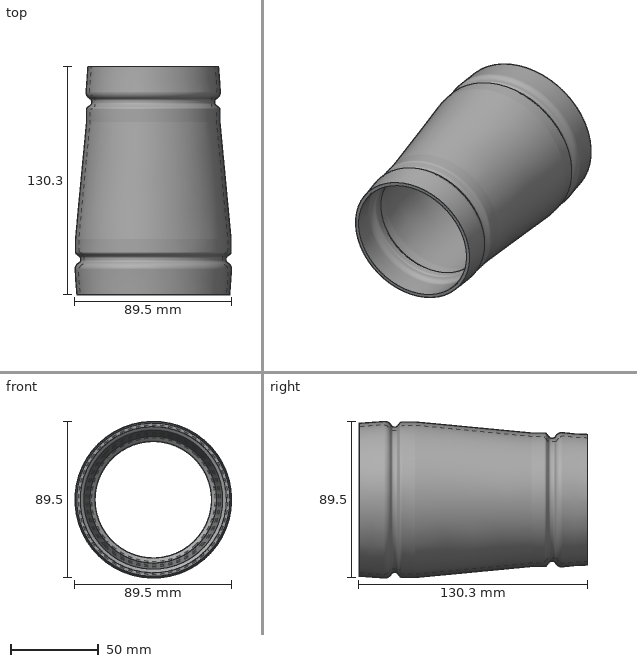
import cadquery as cq
import math

total_length = 130.3
large_diameter = 88.9
large_bore = 85.0
large_groove_diameter = 83.1
small_diameter = 76.2
small_bore = 72.2
small_groove_diameter = 70.4

end_length = 31.9
lip_inset = 0.8
bead_height = 0.3
bead_start = 14.6
floor_start = 19.8
floor_end = 20.7
fillet_radius = 1.5
shoulder_angle = math.radians(52)
inner_side_shift = 1.0

axis_start = (0, 0, 0)
axis_end = (0, 1, 0)


def arc_point(center, radius, angle):
    """Point on an arc; the angle turns from the outward radial direction towards +Y."""
    return (center[0] + radius * math.cos(angle), center[1] + radius * math.sin(angle))


def arc_to(center, radius, start, end):
    """Middle and final points of an arc, ready for threePointArc."""
    return arc_point(center, radius, (start + end) / 2), arc_point(center, radius, end)


def end_envelope(diameter, groove_diameter, side_shift):
    """Solid with flared lip, bead and rolled groove; end face at Y=0, pipe towards +Y.

    The groove sides move apart by side_shift each, which widens the groove floor.
    """
    crest_place = bead_start - side_shift
    entry_place = floor_start - side_shift
    exit_place = floor_end + side_shift
    pipe_radius = diameter / 2
    groove_radius = groove_diameter / 2
    crest_radius = pipe_radius + bead_height

    blend_drop = crest_radius - groove_radius
    blend_run = entry_place - crest_place
    bead_angle = 2 * math.atan(blend_drop / blend_run)
    bead_radius = blend_run / math.sin(bead_angle) - fillet_radius

    side_rise = pipe_radius - groove_radius - 2 * fillet_radius * (1 - math.cos(shoulder_angle))
    side_run = side_rise / math.tan(shoulder_angle)
    shoulder_end = exit_place + 2 * fillet_radius * math.sin(shoulder_angle) + side_run

    bead_center = (crest_radius - bead_radius, crest_place)
    entry_center = (groove_radius + fillet_radius, entry_place)
    exit_center = (groove_radius + fillet_radius, exit_place)
    shoulder_center = (pipe_radius - fillet_radius, shoulder_end)

    profile = (
        cq.Workplane("XY")
        .lineTo(pipe_radius - lip_inset, 0)
        .lineTo(crest_radius, crest_place)
        .threePointArc(*arc_to(bead_center, bead_radius, 0, bead_angle))
        .threePointArc(*arc_to(entry_center, fillet_radius, math.pi + bead_angle, math.pi))
        .lineTo(groove_radius, exit_place)
        .threePointArc(*arc_to(exit_center, fillet_radius, math.pi, math.pi - shoulder_angle))
        .lineTo(*arc_point(shoulder_center, fillet_radius, -shoulder_angle))
        .threePointArc(*arc_to(shoulder_center, fillet_radius, -shoulder_angle, 0))
        .lineTo(pipe_radius, end_length)
        .lineTo(0, end_length)
        .close()
    )
    return profile.revolve(360, axis_start, axis_end)


def grooved_end(diameter, bore, groove_diameter):
    """Pipe end whose inside follows the outside at one wall thickness."""
    groove_bore = groove_diameter - (diameter - bore)
    outside = end_envelope(diameter, groove_diameter, 0)
    inside = end_envelope(bore, groove_bore, inner_side_shift)
    return outside.cut(inside)


def cone_body():
    """Conical wall joining the two grooved ends."""
    cone_end = total_length / 2 - end_length
    return (
        cq.Workplane("XY")
        .moveTo(large_diameter / 2, -cone_end)
        .lineTo(small_diameter / 2, cone_end)
        .lineTo(small_bore / 2, cone_end)
        .lineTo(large_bore / 2, -cone_end)
        .close()
        .revolve(360, axis_start, axis_end)
    )


large_end = grooved_end(large_diameter, large_bore, large_groove_diameter)
large_end = large_end.translate((0, -total_length / 2, 0))

small_end = grooved_end(small_diameter, small_bore, small_groove_diameter)
small_end = small_end.rotate((0, 0, 0), (0, 0, 1), 180)
small_end = small_end.translate((0, total_length / 2, 0))

result = cone_body().union(large_end).union(small_end)